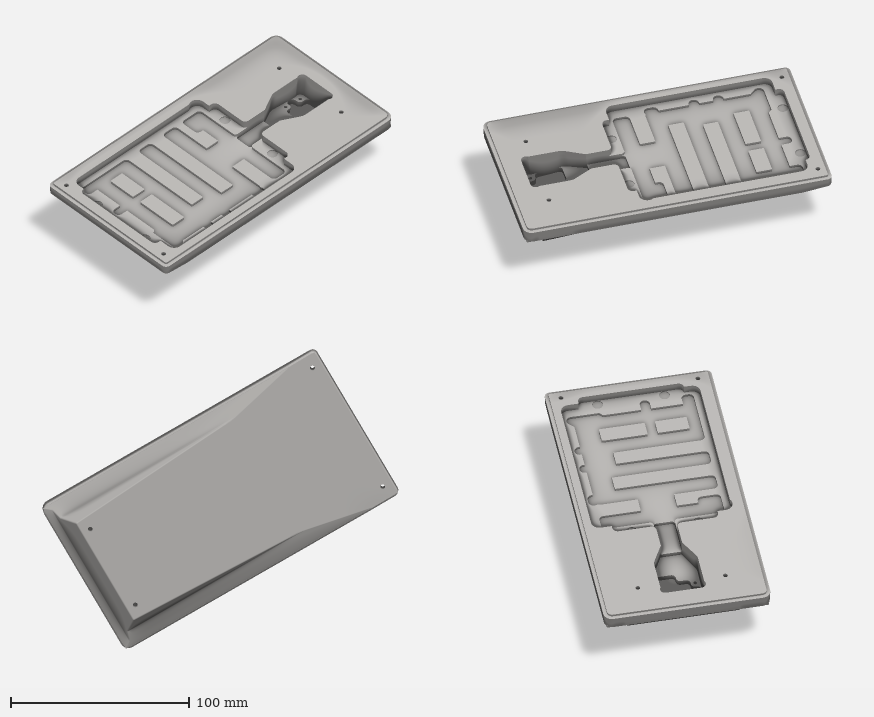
import cadquery as cq
import math

width = 95.4
length = 178.5
height = 24.1
rim_inset = 2.1
rim_step = 1.2
back_corner_radius = 5.0
front_corner_radius = 3.0
slab_bottom = -9.1
wall_draft = 3.0
slab_chamfer = 0.9

keel_top_half = 46.2
keel_knee_half = 37.5
keel_knee_z = -13.2
keel_foot_half = 32.0
keel_back_y = 87.9
keel_back_knee = (83.7, -10.5)
keel_foot_y = 74.6
front_bottom_z = -7.3
keel_edge_radius = 0.9
tip_rounding = 0.05
keel_foot_z = -height - tip_rounding

bottom_slope = (front_bottom_z - keel_foot_z) / (keel_foot_y + length / 2)
overlap = 1.8
tilt = math.degrees(math.atan(bottom_slope))

ledge_depth = 4.6
tray_depth = 6.2
channel_depth = 8.2
pad_recess_depth = 0.5

ledge_left = -38.7
ledge_right = 41.0
ledge_back = 19.8
ledge_front_left = -78.0
ledge_front_right = -76.6
ledge_corner_radius = 4.6
relief_centre = (-35.0, 15.2)
tab_half = 30.2
tab_back = 24.5
tab_front = -81.0
tab_corner_radius = 3.0
pad_x = 19.1
pad_diameter = 6.0

channel_half = 6.0
channel_back = 41.0
channel_corner_radius = 2.0
mouth_radius = 2.9

tray_left = -35.0
tray_right = 35.2
tray_back = 17.0
tray_front = -69.5
row_radius = 2.7
finger_front = -76.2
bump_radius = 3.0
bump_x = 35.7
bump_ys = [-5.0, -7.1, -30.9, -45.0]
corner_bump_y = -68.5
island_radius = 0.5

cavity_front_y = 38.7
cavity_front_z = -10.9
cavity_half = 12.5
cavity_shoulder = 12.1
cavity_length = 36.0
cavity_corner_radius = 2.9
cavity_shoulder_radius = 7.1
cavity_relief = 0.5
cavity_tall = 26.8
well_depth = 3.4
well_radius = 2.3
screw_hole_diameter = 2.0
screw_hole_depth = 2.7
screw_holes = [(-9.6, 32.3), (9.6, 32.3), (-9.6, 21.0)]

through_diameter = 2.7
through_holes = [(-25.0, 69.5), (25.0, 69.5), (-39.1, -82.9), (39.1, -82.9)]


def block(x0, x1, y0, y1, top, depth, radius=0.0):
    """Box between the given limits, reaching down from top, with rounded upright edges."""
    box = cq.Workplane("XY").box(x1 - x0, y1 - y0, depth, centered=False)
    if radius:
        box = box.edges("|Z").fillet(radius)
    return box.translate((x0, y0, top - depth))


def cylinders(points, diameter, top, depth):
    return (
        cq.Workplane("XY", origin=(0, 0, top))
        .pushPoints(points)
        .circle(diameter / 2)
        .extrude(-depth)
    )


def prism(points, top, depth):
    return cq.Workplane("XY", origin=(0, 0, top)).polyline(points).close().extrude(-depth)


def plate(inset, top, depth, draft=0.0):
    """Body outline moved inward by inset, extruded down with an optional draft."""
    half_x = width / 2 - inset
    half_y = length / 2 - inset
    outline = cq.Sketch().rect(2 * half_x, 2 * half_y)
    outline = outline.vertices(">Y").fillet(back_corner_radius - inset)
    outline = outline.reset().vertices("<Y").fillet(front_corner_radius - inset)
    return cq.Workplane("XY", origin=(0, 0, top)).placeSketch(outline).extrude(-depth, taper=draft)


def below_bottom():
    """Everything under the sloping underside."""
    reach = length
    profile = [
        (reach, keel_foot_z - bottom_slope * (reach - keel_foot_y)),
        (-reach, keel_foot_z + bottom_slope * (reach + keel_foot_y)),
        (-reach, -3 * height),
        (reach, -3 * height),
    ]
    return cq.Workplane("YZ").polyline(profile).close().extrude(width, both=True)


def make_slab():
    slab = plate(0, -rim_step, -slab_bottom - rim_step, wall_draft)
    slab = slab.cut(below_bottom())
    crease_y = -length / 2 + (front_bottom_z - slab_bottom) / bottom_slope
    bottom_edges = slab.edges().filter(lambda edge: edge.Center().z < front_bottom_z + slab_chamfer)
    wall_edges = bottom_edges.filter(lambda edge: abs(edge.Center().y - crease_y) > 0.2)
    slab = wall_edges.chamfer(slab_chamfer)
    return slab.union(plate(rim_inset, 0, rim_step + overlap))


def make_keel():
    right_side = [
        (keel_top_half, slab_bottom + overlap),
        (keel_top_half, slab_bottom),
        (keel_knee_half, keel_knee_z),
        (keel_foot_half, keel_foot_z),
    ]
    left_side = [(-x, z) for x, z in reversed(right_side)]
    cross = cq.Workplane("XZ").polyline(right_side + left_side).close().extrude(length, both=True)
    side = [
        (keel_back_y, slab_bottom + overlap),
        (keel_back_y, slab_bottom),
        keel_back_knee,
        (keel_foot_y, keel_foot_z),
        (-length / 2 + slab_chamfer, front_bottom_z - bottom_slope * slab_chamfer),
    ]
    lengthwise = cq.Workplane("YZ").polyline(side).close().extrude(width, both=True)
    keel = cross.intersect(lengthwise)
    exposed = keel.edges().filter(lambda edge: edge.Center().z < slab_bottom - 0.2)
    return exposed.fillet(keel_edge_radius)


def make_ledge():
    left = block(ledge_left, 0, ledge_front_left, ledge_back, 0, ledge_depth)
    left = left.edges("|Z and <X").fillet(ledge_corner_radius)
    right = block(-overlap, ledge_right, ledge_front_right, ledge_back, 0, ledge_depth)
    right = right.edges("|Z and >X").fillet(ledge_corner_radius)
    tab = block(-tab_half, tab_half, tab_front, tab_back, 0, ledge_depth, tab_corner_radius)
    neck = block(-channel_half, channel_half, 0, channel_back, 0, ledge_depth)
    mouth = tab.union(neck)
    mouth = round_mouth(mouth, tab_back, mouth_radius)
    relief = cylinders([relief_centre], 2 * ledge_corner_radius, 0, ledge_depth)
    return mouth.union(left).union(right).union(relief)


def round_mouth(solid, y, radius):
    """Round the two upright edges where the channel opens into a wider recess at y."""
    reach = 0.4
    for x in (-channel_half, channel_half):
        near = cq.selectors.BoxSelector(
            (x - reach, y - reach, -height), (x + reach, y + reach, height)
        )
        solid = solid.edges("|Z").edges(near).fillet(radius)
    return solid


def make_pads():
    tab_ends = (tab_back - pad_diameter / 2, tab_front + pad_diameter / 2)
    centres = [(x, y) for x in (-pad_x, pad_x) for y in tab_ends]
    return cylinders(centres, pad_diameter, 0, ledge_depth + pad_recess_depth)


def make_channel():
    return block(
        -channel_half, channel_half, tray_back, channel_back, 0, channel_depth
    ).edges("|Z and <Y").fillet(channel_corner_radius)


def make_tray():
    row_1_front, row_2_back, row_2_front = 7.0, -2.0, -12.3
    row_3_back, row_3_front, row_4_back = -21.2, -31.2, -40.0
    spine_left, spine_right = -9.6, 11.0
    upper_island_end, lower_island_end = 22.1, 17.7
    inner_finger_left, inner_finger_right = -9.8, -4.1
    drop_right, drop_front = -21.8, 2.7
    outer_finger_right = -28.0
    free_island_front, free_island_back = -59.3, -50.2

    first_row = block(tray_left, tray_right, row_1_front, tray_back, 0, tray_depth, row_radius)
    neck = block(-channel_half, channel_half, tray_back - overlap, tab_back, 0, tray_depth)
    tray = round_mouth(first_row.union(neck), tray_back, channel_corner_radius)

    rounded = [
        (tray_left, drop_right, drop_front, tray_back),
        (tray_left, tray_right, row_2_front, row_2_back),
        (tray_left, tray_right, row_3_front, row_3_back),
        (tray_left, tray_right, tray_front, row_4_back),
        (tray_left, outer_finger_right, finger_front, row_4_back),
        (inner_finger_left, inner_finger_right, finger_front, tray_front + 2 * row_radius + overlap),
    ]
    for limits in rounded:
        tray = tray.union(block(*limits, 0, tray_depth, row_radius))

    square = [
        (spine_left, spine_right, row_2_front + overlap, tray_back - overlap),
        (upper_island_end, tray_right, row_3_front, row_2_back - overlap),
        (lower_island_end, tray_right, tray_front, row_3_back - overlap),
        (outer_finger_right - overlap, bump_x, tray_front, tray_front + 2 * row_radius),
    ]
    for limits in square:
        tray = tray.union(block(*limits, 0, tray_depth))

    bumps = [(bump_x, y) for y in bump_ys + [corner_bump_y]]
    tray = tray.union(cylinders(bumps, 2 * bump_radius, 0, tray_depth))

    slant = bump_radius * math.sqrt(0.5)
    step_front = corner_bump_y - bump_radius
    corner = [
        (lower_island_end, tray_front),
        (lower_island_end + 1.8, step_front),
        (bump_x, step_front),
        (bump_x + slant, corner_bump_y + slant),
        (tray_right, corner_bump_y + slant + (bump_x + slant - tray_right)),
    ]
    tray = tray.union(prism(corner, 0, tray_depth))

    free_islands = [
        (outer_finger_right, inner_finger_left),
        (inner_finger_right, upper_island_end),
    ]
    for left, right in free_islands:
        island = block(left, right, free_island_front, free_island_back, 0, tray_depth, island_radius)
        tray = tray.cut(island)
    return tray


def make_cavity():
    """Cavity with a floor parallel to the underside and walls square to that floor."""
    outline = [
        (channel_half, 0),
        (cavity_half, cavity_shoulder),
        (cavity_half, cavity_length),
        (-cavity_half, cavity_length),
        (-cavity_half, cavity_shoulder),
        (-channel_half, 0),
    ]
    shoulders = cq.selectors.BoxSelector(
        (-width, cavity_shoulder - 0.2, 0), (width, cavity_shoulder + 0.2, cavity_tall)
    )
    cavity = prism(outline, cavity_tall, cavity_tall)
    cavity = cavity.edges("|Z and >Y").fillet(cavity_corner_radius)
    cavity = cavity.edges("|Z").edges(shoulders).fillet(cavity_shoulder_radius)
    relief_x = cavity_half + cavity_relief - cavity_corner_radius
    relief_y = cavity_length - cavity_corner_radius
    reliefs = [(-relief_x, relief_y), (relief_x, relief_y)]
    cavity = cavity.union(cylinders(reliefs, 2 * cavity_corner_radius, cavity_tall, cavity_tall))

    seat_half, seat_front = 7.1, 29.5
    low_seat_back, middle_step, front_step = 23.7, 18.4, 13.4
    step_x = 0.4
    well = [
        (-seat_half, cavity_length),
        (seat_half, cavity_length),
        (seat_half, seat_front),
        (cavity_half, seat_front),
        (cavity_half, front_step),
        (step_x, front_step),
        (step_x, middle_step),
        (-seat_half, middle_step),
        (-seat_half, low_seat_back),
        (-cavity_half, low_seat_back),
        (-cavity_half, seat_front),
        (-seat_half, seat_front),
    ]
    cavity = cavity.union(prism(well, 0, well_depth).edges("|Z").fillet(well_radius))
    cavity = cavity.union(cylinders(screw_holes, screw_hole_diameter, 0, screw_hole_depth))
    cavity = cavity.rotate((0, 0, 0), (1, 0, 0), -tilt)
    return cavity.translate((0, cavity_front_y, cavity_front_z))


result = make_slab().union(make_keel())
for recess in (make_ledge(), make_pads(), make_channel(), make_tray(), make_cavity()):
    result = result.cut(recess)
result = result.cut(cylinders(through_holes, through_diameter, 0, height))